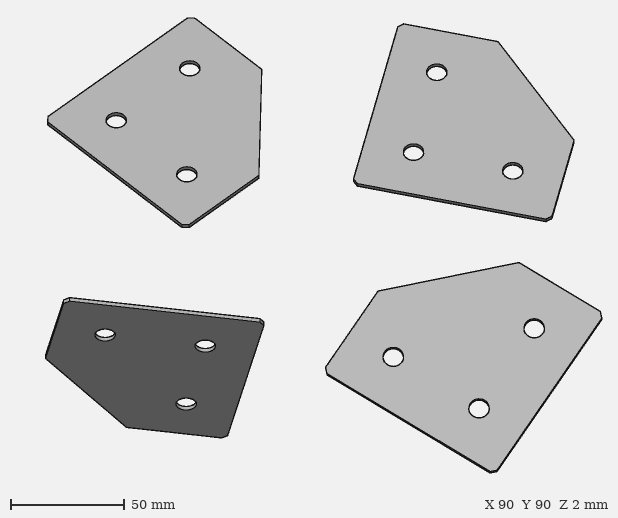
import cadquery as cq

side = 90.0
thickness = 2.0
corner_cut = 45.0
corner_chamfer = 2.25
hole_diameter = 9.0
hole_inset = 22.5
hole_spacing = 45.0

plate = cq.Workplane("XY").box(side, side, thickness, centered=False)
plate = plate.edges("|Z and (>X and >Y)").chamfer(corner_cut)
for corner in ("<X and <Y", ">X and <Y", "<X and >Y"):
    plate = plate.edges(f"|Z and ({corner})").chamfer(corner_chamfer)

hole_far = hole_inset + hole_spacing
hole_centers = [
    (hole_inset, hole_inset),
    (hole_far, hole_inset),
    (hole_inset, hole_far),
]
holes = (
    cq.Workplane("XY")
    .pushPoints(hole_centers)
    .circle(hole_diameter / 2)
    .extrude(thickness)
)

result = plate.cut(holes)